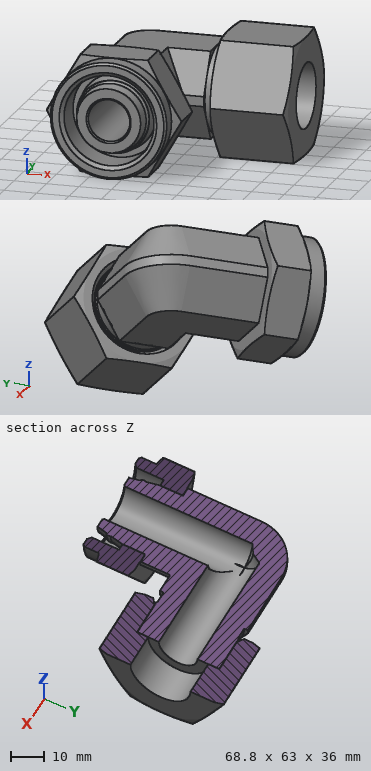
import cadquery as cq
import math


hex_across_flats = 36.0
hex_corner_angle = math.radians(60)
hex_across_corners = hex_across_flats / math.cos(hex_corner_angle / 2)
hex_bevel_radius = hex_across_flats / 2
hex_bevel_angle = math.radians(15)
thread_radius = 13.8
thread_mouth_radius = 15.0
thread_mouth_depth = 1.0

leg_across_flats = 27.0
leg_half_width = 14.7
x_leg_end = 21.05
bore_radius = 6.4
bore_overshoot = 1.5
drill_tip_half_angle = math.radians(59)

collar_radius = leg_across_flats / 2
collar_end = 24.55
x_nut_start = 24.1
x_nut_end = 48.0
stub_end = 37.0
stub_runout_angle = math.radians(30)
entry_radius = 15.2
entry_chamfer = 0.55
entry_taper_angle = math.radians(30)
tube_hole_radius = 10.0

y_nut_start = 24.6
y_nut_hex_end = 36.7
y_nut_end = 42.2
nut_sleeve_radius = 17.9
nut_sleeve_chamfer = 0.7
cone_tip = 41.55
cone_tip_radius = 9.85
cone_half_angle = math.radians(12)
neck_radius = 11.8
cone_base = cone_tip - (neck_radius - cone_tip_radius) / math.tan(cone_half_angle)
bore_mouth_chamfer = 0.5
ring_section_radius = 1.2
ring_centre_radius = 10.0
ring_position = 37.2


def turned(profile):
    """Solid of revolution about +X from (axial, radius) points."""
    return cq.Workplane("XY").polyline(profile).close().revolve(360, (0, 0, 0), (1, 0, 0))


def turned_to_minus_y(body):
    """Swing a body built along +X so that it runs along -Y."""
    return body.rotate((0, 0, 0), (0, 0, 1), -90)


def bevelled_hexagon(start, end):
    """Hexagon bar along +X with flats facing +Z and -Z and both ends bevelled."""
    corner_radius = hex_across_corners / 2
    bevel_depth = (corner_radius - hex_bevel_radius) * math.tan(hex_bevel_angle)
    bar = cq.Workplane("YZ").workplane(offset=start).polygon(6, hex_across_corners).extrude(end - start)
    envelope = turned([
        (start, 0),
        (start, hex_bevel_radius),
        (start + bevel_depth, corner_radius),
        (end - bevel_depth, corner_radius),
        (end, hex_bevel_radius),
        (end, 0),
    ])
    return bar.intersect(envelope)


def leg_half_section():
    """Right half of the leg section as (distance from axis, height) points."""
    half_height = leg_across_flats / 2
    slope = math.tan(hex_corner_angle)
    flat_half_width = half_height / slope
    full_corner = 2 * flat_half_width
    side_half_height = (full_corner - leg_half_width) * slope
    return [
        (0, half_height),
        (flat_half_width, half_height),
        (leg_half_width, side_half_height),
        (leg_half_width, -side_half_height),
        (flat_half_width, -half_height),
        (0, -half_height),
    ]


def leg(length):
    """Leg bar along +X, starting at the origin."""
    half = leg_half_section()
    section = half + [(-y, z) for y, z in reversed(half[1:-1])]
    return cq.Workplane("YZ").polyline(section).close().extrude(length)


def rounded_corner():
    """Quarter turn of the leg section that closes the outside of the bend."""
    corner_box = cq.Workplane("XY").box(
        leg_half_width, leg_half_width, leg_across_flats, centered=(False, False, True)
    )
    spun_section = cq.Workplane("XZ").polyline(leg_half_section()).close().revolve(360, (0, 0, 0), (0, 1, 0))
    return spun_section.intersect(corner_box.translate((-leg_half_width, 0, 0)))


def drilled_bore(end):
    """Drill hole along +X with a conical tip just past the other leg's axis."""
    tip_length = bore_radius / math.tan(drill_tip_half_angle)
    return turned([
        (-bore_overshoot - tip_length, 0),
        (-bore_overshoot, bore_radius),
        (end, bore_radius),
        (end, 0),
    ])


def threaded_stub():
    """Collar and thread cylinder on the end of the +X leg."""
    runout_length = (thread_radius - collar_radius) / math.tan(stub_runout_angle)
    return turned([
        (x_leg_end, 0),
        (x_leg_end, collar_radius),
        (collar_end, collar_radius),
        (collar_end + runout_length, thread_radius),
        (stub_end, thread_radius),
        (stub_end, 0),
    ])


def sealing_cone():
    """Neck, sealing cone and its proud ring, built along +X."""
    cone = turned([
        (y_nut_start, 0),
        (y_nut_start, neck_radius),
        (cone_base, neck_radius),
        (cone_tip, cone_tip_radius),
        (cone_tip, 0),
    ])
    ring = (
        cq.Workplane("XY")
        .center(ring_position, ring_centre_radius)
        .circle(ring_section_radius)
        .revolve(360, (-ring_position, -ring_centre_radius, 0), (0.7 - ring_position, -ring_centre_radius, 0))
    )
    return cone.union(ring)


def bore_mouth():
    """Chamfer cutter at the cone tip, built along +X."""
    return turned([
        (cone_tip - bore_mouth_chamfer, 0),
        (cone_tip - bore_mouth_chamfer, bore_radius),
        (cone_tip, bore_radius + bore_mouth_chamfer),
        (cone_tip, 0),
    ])


def make_elbow():
    y_branch = turned_to_minus_y(leg(y_nut_start).union(sealing_cone()))
    body = leg(x_leg_end).union(y_branch).union(rounded_corner()).union(threaded_stub())
    y_bore = turned_to_minus_y(drilled_bore(cone_tip).union(bore_mouth()))
    return body.cut(drilled_bore(stub_end)).cut(y_bore)


def make_union_nut():
    taper_start = x_nut_start + entry_chamfer
    taper_start_radius = entry_radius - entry_chamfer
    taper_end = taper_start + (taper_start_radius - thread_radius) / math.tan(entry_taper_angle)
    hole = turned([
        (x_nut_start, 0),
        (x_nut_start, entry_radius),
        (taper_start, taper_start_radius),
        (taper_end, thread_radius),
        (stub_end, thread_radius),
        (stub_end, tube_hole_radius),
        (x_nut_end, tube_hole_radius),
        (x_nut_end, 0),
    ])
    return bevelled_hexagon(x_nut_start, x_nut_end).cut(hole)


def make_swivel_nut():
    sleeve = turned([
        (cone_base, 0),
        (cone_base, nut_sleeve_radius),
        (y_nut_end - nut_sleeve_chamfer, nut_sleeve_radius),
        (y_nut_end, nut_sleeve_radius - nut_sleeve_chamfer),
        (y_nut_end, 0),
    ])
    hole = turned([
        (y_nut_start, 0),
        (y_nut_start, neck_radius),
        (cone_base, neck_radius),
        (cone_base, thread_radius),
        (y_nut_end - thread_mouth_depth, thread_radius),
        (y_nut_end, thread_mouth_radius),
        (y_nut_end, 0),
    ])
    return turned_to_minus_y(bevelled_hexagon(y_nut_start, y_nut_hex_end).union(sleeve).cut(hole))


elbow = make_elbow()
union_nut = make_union_nut()
swivel_nut = make_swivel_nut()

result = cq.Compound.makeCompound([elbow.val(), union_nut.val(), swivel_nut.val()])